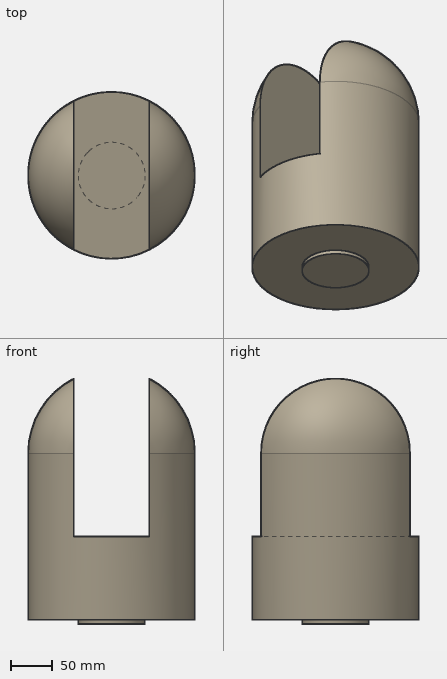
import cadquery as cq
import math

total_height = 294.3
body_radius = 100.0
slot_width = 90.0
slot_floor_height = 100.0
boss_diameter = 80.0
boss_height = 5.0

dome_peak_height = math.sqrt(body_radius**2 - (slot_width / 2) ** 2)
shoulder_z = total_height - boss_height - dome_peak_height
dome_top_z = shoulder_z + body_radius


def domed_body():
    """Solid cylinder with a hemispherical top, its underside at Z = 0."""
    arc_offset = body_radius * math.sqrt(0.5)
    return (
        cq.Workplane("XZ")
        .lineTo(body_radius, 0)
        .lineTo(body_radius, shoulder_z)
        .threePointArc((arc_offset, shoulder_z + arc_offset), (0, dome_top_z))
        .close()
        .revolve(360, (0, 0, 0), (0, 1, 0))
    )


def slot():
    """Open-topped slot running right through the body along Y."""
    return (
        cq.Workplane("XY")
        .workplane(offset=slot_floor_height)
        .rect(slot_width, 2 * body_radius)
        .extrude(dome_top_z - slot_floor_height)
    )


def bottom_boss():
    """Shallow round boss below the body."""
    return cq.Workplane("XY").circle(boss_diameter / 2).extrude(-boss_height)


result = domed_body().cut(slot()).union(bottom_boss())